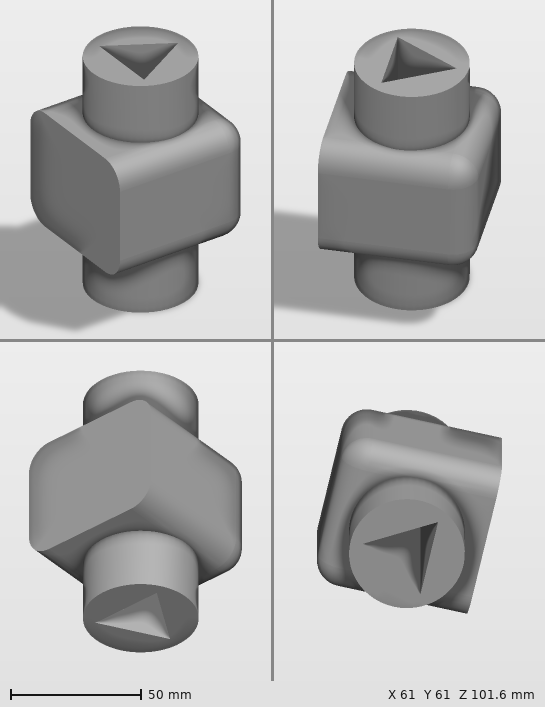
import cadquery as cq
import math

total_height = 101.6
block_width = 61.0
block_height = total_height / 2
edge_radius = 10.0
post_diameter = 44.5
triangle_side = 30.5


def rounded_block():
    """Centred block with every edge rounded except those around the flat -Y face."""
    block = cq.Workplane("XY").box(block_width, block_width, block_height)
    return block.edges("not <Y").fillet(edge_radius)


def post():
    """Round post standing out above and below the block."""
    return cq.Workplane("XY").circle(post_diameter / 2).extrude(total_height / 2, both=True)


def triangular_bore():
    """Equilateral through hole, centred on the post, with one corner toward +Y."""
    corner_radius = triangle_side / math.sqrt(3)
    corner_angles = [math.radians(angle) for angle in (90, 210, 330)]
    corners = [(corner_radius * math.cos(a), corner_radius * math.sin(a)) for a in corner_angles]
    return cq.Workplane("XY").polyline(corners).close().extrude(total_height / 2, both=True)


result = rounded_block().union(post()).cut(triangular_bore())